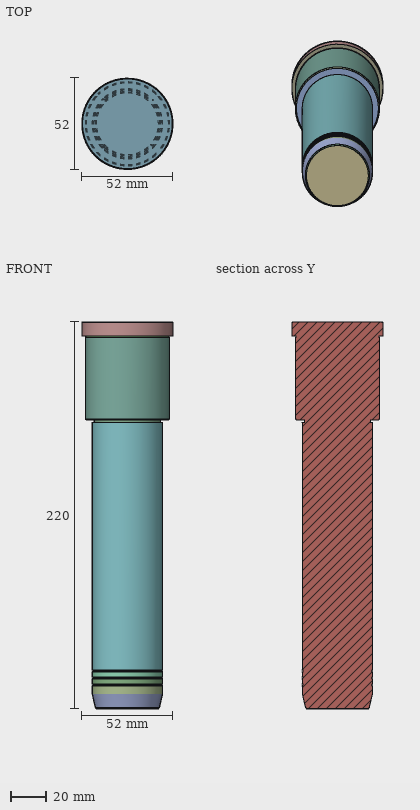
import cadquery as cq

length = 220.0
head_radius = 26.0
shoulder_radius = 24.0
shaft_radius = 20.0

head_height = 8.1
shoulder_length = 47.7
head_chamfer = 0.5
shoulder_chamfer = 0.7

head_relief_width = 0.7
head_relief_depth = 0.2

shaft_relief_width = 1.3
shaft_relief_depth = 1.0

groove_count = 3
groove_pitch = 4.0
groove_width = 1.0
groove_depth = 0.5
lowest_groove_z = 13.6

nose_height = 8.4
nose_radius = 18.3
tip_chamfer = 0.7

head_bottom_z = length - head_height
shoulder_bottom_z = head_bottom_z - shoulder_length


def cylinder(radius, bottom_z, top_z):
    return cq.Workplane("XY").workplane(offset=bottom_z).circle(radius).extrude(top_z - bottom_z)


def relief_cutter(radius, top_z, width, depth):
    """Ring that cuts a square groove, ending at top_z, into a cylinder of the given radius."""
    outer = cylinder(radius, top_z - width, top_z)
    core = cylinder(radius - depth, top_z - width, top_z)
    return outer.cut(core)


def vee_cutter(bottom_z):
    """Ring of triangular section that cuts one V-shaped groove into the shaft."""
    return (
        cq.Workplane("XZ")
        .moveTo(shaft_radius, bottom_z)
        .lineTo(shaft_radius - groove_depth, bottom_z + groove_width / 2)
        .lineTo(shaft_radius, bottom_z + groove_width)
        .close()
        .revolve(360, (0, 0, 0), (0, 1, 0))
    )


def make_head():
    return cylinder(head_radius, head_bottom_z, length).faces(">Z").edges().chamfer(head_chamfer)


def make_shoulder():
    shoulder = cylinder(shoulder_radius, shoulder_bottom_z, head_bottom_z)
    shoulder = shoulder.faces("<Z").edges().chamfer(shoulder_chamfer)
    return shoulder.cut(relief_cutter(shoulder_radius, head_bottom_z, head_relief_width, head_relief_depth))


def make_shaft():
    """Shaft with its conical lead-in nose and chamfered tip, revolved about Z."""
    return (
        cq.Workplane("XZ")
        .moveTo(0, 0)
        .lineTo(nose_radius - tip_chamfer, 0)
        .lineTo(nose_radius, tip_chamfer)
        .lineTo(shaft_radius, nose_height)
        .lineTo(shaft_radius, shoulder_bottom_z)
        .lineTo(0, shoulder_bottom_z)
        .close()
        .revolve(360, (0, 0, 0), (0, 1, 0))
    )


shaft = make_shaft().cut(
    relief_cutter(shaft_radius, shoulder_bottom_z, shaft_relief_width, shaft_relief_depth)
)
for index in range(groove_count):
    groove_center_z = lowest_groove_z + index * groove_pitch
    shaft = shaft.cut(vee_cutter(groove_center_z - groove_width / 2))

result = shaft.union(make_shoulder()).union(make_head())